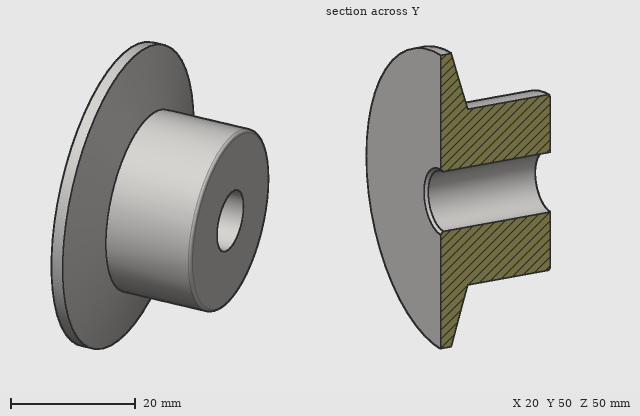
import cadquery as cq

total_length = 20.0
flange_diameter = 50.0
rim_thickness = 2.0
cone_length = 3.0
hub_diameter = 30.0
bore_diameter = 10.1
hub_end_fillet = 0.5
bore_chamfer = 0.5

flange_radius = flange_diameter / 2
hub_radius = hub_diameter / 2
hub_start = rim_thickness + cone_length


def make_body():
    """Flange with a conical back and a cylindrical hub whose end edge is rounded."""
    half_profile = (
        cq.Workplane("XY")
        .moveTo(0, 0)
        .lineTo(0, flange_radius)
        .lineTo(rim_thickness, flange_radius)
        .lineTo(hub_start, hub_radius)
        .lineTo(total_length, hub_radius)
        .lineTo(total_length, 0)
        .close()
    )
    body = half_profile.revolve(360, (0, 0, 0), (1, 0, 0))
    return body.faces(">X").edges().fillet(hub_end_fillet)


def cut_bore(body):
    """Through bore along X, chamfered at its mouth in the flange face."""
    bore = cq.Workplane("YZ").circle(bore_diameter / 2).extrude(total_length)
    bored = body.cut(bore)
    bore_mouth = cq.selectors.RadiusNthSelector(0)
    return bored.faces("<X").edges(bore_mouth).chamfer(bore_chamfer)


result = cut_bore(make_body())